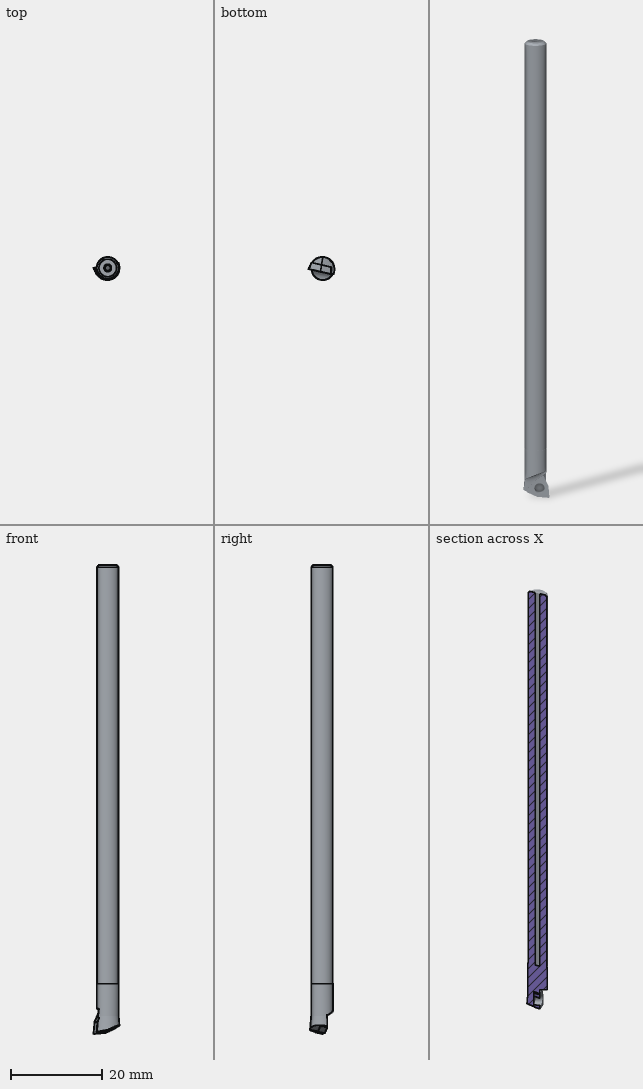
import cadquery as cq
import math


total_length = 102.7
shank_diameter = 4.75
head_diameter = 4.85
head_length = 11.0
end_chamfer = 0.45
coolant_diameter = 1.2
coolant_chamfer = 0.22
flare_height = 3.9
flare_angle = 5.0

inscribed_diameter = 3.97
insert_thickness = 1.55
insert_clearance = 11.0
insert_hole_diameter = 2.2
nose_radius = 0.2
tip_half_angle = 40.0
blunt_half_angle = 80.0

tip_x = -3.15
tip_y = 0.0
tip_z = -0.02
tip_bisector_angle = 45.0
rake_angle = 13.0

insert_proud = 0.1
heel_relief = 0.1
chip_end_z = 4.85
chip_end_inward_fall = 0.45
chip_end_outward_rise = 0.2
cut_reach = 12.0

tip_distance = inscribed_diameter / 2 / math.sin(math.radians(tip_half_angle))
blunt_distance = inscribed_diameter / 2 / math.sin(math.radians(blunt_half_angle))
insert_center_u = tip_distance * math.cos(math.radians(tip_bisector_angle))
insert_center_w = tip_distance * math.sin(math.radians(tip_bisector_angle))

rake_sin = math.sin(math.radians(rake_angle))
rake_cos = math.cos(math.radians(rake_angle))


def insert_plane(depth):
    """Plane parallel to the rake face: x runs inward, y runs up, the normal goes into the bar."""
    return cq.Plane(
        origin=(tip_x + depth * rake_sin, tip_y - depth * rake_cos, tip_z),
        xDir=(rake_cos, rake_sin, 0),
        normal=(rake_sin, -rake_cos, 0),
    )


def insert_corner(distance, angle):
    """Point at a distance and direction from the insert's center."""
    direction = math.radians(angle)
    return (
        insert_center_u + distance * math.cos(direction),
        insert_center_w + distance * math.sin(direction),
    )


def beyond(start, end):
    """Point well outside the head on the line that runs from start through end."""
    length = math.dist(start, end)
    return tuple(e + (e - s) * cut_reach / length for s, e in zip(start, end))


tips = []
blunts = []
for index in range(3):
    tip_direction = 180 + tip_bisector_angle + 120 * index
    tips.append(insert_corner(tip_distance, tip_direction))
    blunts.append(insert_corner(blunt_distance, tip_direction + 60))
cutting_tip, inner_tip, upper_tip = tips
bottom_blunt, seat_blunt = blunts[:2]
trigon = [corner for pair in zip(tips, blunts) for corner in pair]


def is_tip_edge(edge):
    """True for the three short edges that run through the thickness at the sharp tips."""
    start, end = edge.startPoint(), edge.endPoint()
    through = abs((end - start).dot(insert_plane(0).zDir)) > insert_thickness / 2
    local = insert_plane(0).toLocalCoords(edge.Center())
    reach = math.dist((local.x, local.y), (insert_center_u, insert_center_w))
    return through and reach > blunt_distance


def make_insert():
    blank = (
        cq.Workplane(insert_plane(0))
        .polyline(trigon)
        .close()
        .extrude(insert_thickness, taper=insert_clearance)
    )
    tip_edges = [edge for edge in blank.edges().vals() if is_tip_edge(edge)]
    rounded = blank.newObject(tip_edges).fillet(nose_radius)
    hole = (
        cq.Workplane(insert_plane(0))
        .center(insert_center_u, insert_center_w)
        .circle(insert_hole_diameter / 2)
        .extrude(insert_thickness)
    )
    return rounded.cut(hole)


def revolved(outline):
    """Solid of revolution about the bar axis from (radius, height) points."""
    return cq.Workplane("XZ").polyline(outline).close().revolve(360, (0, 0, 0), (0, 1, 0))


def make_bar_blank():
    head_radius = head_diameter / 2
    shank_radius = shank_diameter / 2
    flare_radius = head_radius + flare_height * math.tan(math.radians(flare_angle))
    outline = [
        (0, 0),
        (flare_radius, 0),
        (head_radius, flare_height),
        (head_radius, head_length),
        (shank_radius, head_length),
        (shank_radius, total_length - end_chamfer),
        (shank_radius - end_chamfer, total_length),
        (0, total_length),
    ]
    return revolved(outline)


def make_coolant_hole():
    """Hole along the axis of the shank, as deep as the shank is long, with a chamfered mouth."""
    radius = coolant_diameter / 2
    outline = [
        (0, head_length),
        (radius, head_length),
        (radius, total_length - coolant_chamfer),
        (radius + coolant_chamfer, total_length),
        (0, total_length),
    ]
    return revolved(outline)


def make_chip_space():
    """Space over the rake face, closed at the top by a face that slopes down inward."""
    over_rake = (
        cq.Workplane(insert_plane(insert_proud))
        .rect(2 * cut_reach, 2 * cut_reach)
        .extrude(-cut_reach)
    )
    end_plane = cq.Plane(
        origin=(0, 0, chip_end_z),
        xDir=(1, 0, -chip_end_inward_fall),
        normal=(chip_end_inward_fall, -chip_end_outward_rise, 1),
    )
    below_end = cq.Workplane(end_plane).rect(2 * cut_reach, 2 * cut_reach).extrude(-cut_reach)
    return over_rake.intersect(below_end)


def make_seat():
    """Pocket under the insert, bounded by the walls along the insert's two inner sides."""
    outline = [
        beyond(seat_blunt, upper_tip),
        seat_blunt,
        beyond(seat_blunt, inner_tip),
        (cut_reach, -cut_reach),
        (-cut_reach, -cut_reach),
    ]
    return cq.Workplane(insert_plane(insert_thickness)).polyline(outline).close().extrude(-cut_reach)


def make_heel_relief():
    """Space below the head, so that its bottom continues the clearance of the insert's lower sides."""
    outline = [
        beyond(bottom_blunt, cutting_tip),
        bottom_blunt,
        beyond(bottom_blunt, inner_tip),
        (cut_reach, -cut_reach),
        (-cut_reach, -cut_reach),
    ]
    return (
        cq.Workplane(insert_plane(0))
        .polyline(outline)
        .close()
        .offset2D(heel_relief, "intersection")
        .extrude(cut_reach, taper=-insert_clearance)
    )


def make_bar():
    blank = make_bar_blank().cut(make_coolant_hole())
    return blank.cut(make_chip_space()).cut(make_seat()).cut(make_heel_relief())


insert = make_insert().solids()
bar = make_bar().solids()

result = cq.Compound.makeCompound([bar.val(), insert.val()])